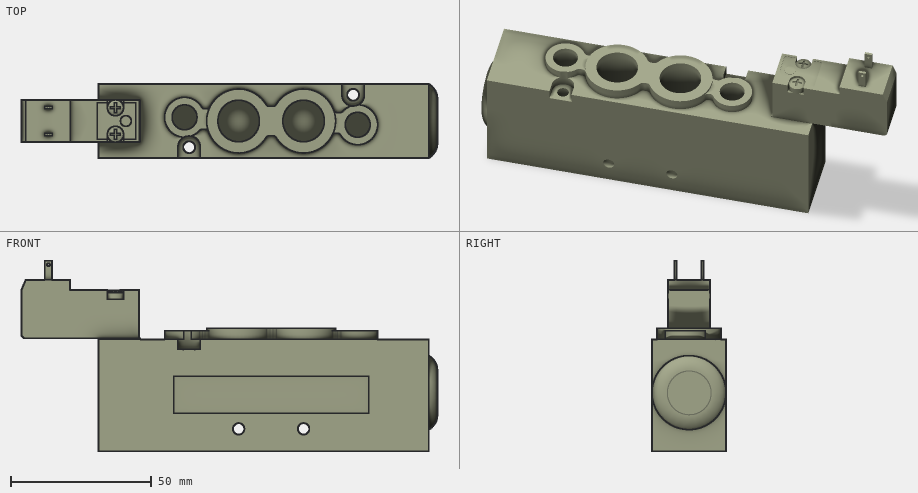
import cadquery as cq
import math


housing_length = 118.0
housing_width = 26.5
housing_height = 40.0

port_centre_x = 61.7
main_port_offset = 11.6
main_boss_diameter = 22.9
main_bore_diameter = 14.9
main_boss_height = 4.0
main_web_width = 10.4
side_port_offset_x = 30.9
side_port_offset_y = 1.3
side_boss_diameter = 14.3
side_bore_diameter = 8.9
side_boss_height = 3.1
side_web_width = 7.3
web_fillet = 1.5
port_depth = 14.9

mount_offset_x = 29.3
mount_offset_y = 9.4
mount_hole_diameter = 4.2
mount_seat_width = 8.0
mount_seat_depth = 3.5

cross_hole_diameter = 4.0
cross_hole_height = 8.0

label_length = 69.5
label_height = 13.1
label_bottom = 13.7
mark_depth = 0.1

cap_diameter = 26.5
cap_thickness = 3.1
cap_centre_height = 21.0
cap_edge_angle = math.radians(60)

pilot_width = 15.0
pilot_overhang = 27.5
pilot_reach = 14.5
pilot_top = 61.2
pilot_step_top = 57.7
pilot_step_x = -10.1
pilot_bevel = 1.5
pilot_bottom_bevel = 0.9
foot_thickness = 0.37
foot_lip = 0.5
foot_inset = 0.1

blade_spacing = 9.5
blade_x = -17.8
blade_width = 2.7
blade_thickness = 0.9
blade_top = 68.0
blade_hole_diameter = 1.0
blade_hole_below_top = 1.5

screw_x = 6.1
screw_spacing = 9.5
screw_diameter = 5.8
screw_seat_depth = 3.4
screw_edge_height = 2.4
screw_dome_height = 0.7
cross_slot_length = 3.5
cross_slot_width = 0.7
cross_slot_depth = 0.9

cover_start = -0.5
cover_end = 13.4
cover_width = 13.1
button_x = 9.8
button_diameter = 3.9

half_turn_signs = (-1, 1)


def block(start, end):
    """Box between two opposite corners."""
    size = [b - a for a, b in zip(start, end)]
    return cq.Workplane("XY").box(*size, centered=False).translate(tuple(start))


def upright_cylinder(x, y, bottom, diameter, height):
    return cq.Workplane("XY", origin=(x, y, bottom)).circle(diameter / 2).extrude(height)


def open_seat(x, y, width, side, reach, bottom, height):
    """U-shaped pocket volume, round about (x, y) and open towards Y = side * reach."""
    pocket = upright_cylinder(x, y, bottom, width, height)
    low_y, high_y = sorted((y, side * reach))
    return pocket.union(block((x - width / 2, low_y, bottom), (x + width / 2, high_y, bottom + height)))


def bridged_bosses(left, right, web_width, height):
    """Two round bosses, each (x, y, diameter), joined by a web along X with filleted inner corners."""
    left_x, left_y, left_diameter = left
    right_x, right_y, right_diameter = right
    web_y = (left_y + right_y) / 2
    web = block(
        (left_x, web_y - web_width / 2, housing_height),
        (right_x, web_y + web_width / 2, housing_height + height),
    )
    left_boss = upright_cylinder(left_x, left_y, housing_height, left_diameter, height)
    right_boss = upright_cylinder(right_x, right_y, housing_height, right_diameter, height).rotate(
        (right_x, right_y, 0), (right_x, right_y, 1), 180
    )
    return web.union(left_boss).union(right_boss).edges("|Z").fillet(web_fillet)


def make_port_bosses():
    left_side = (port_centre_x - side_port_offset_x, side_port_offset_y, side_boss_diameter)
    left_main = (port_centre_x - main_port_offset, 0, main_boss_diameter)
    right_main = (port_centre_x + main_port_offset, 0, main_boss_diameter)
    bosses = bridged_bosses(left_main, right_main, main_web_width, main_boss_height)
    side_pair = bridged_bosses(left_side, left_main, side_web_width, side_boss_height)
    for angle in (0, 180):
        bosses = bosses.union(side_pair.rotate((port_centre_x, 0, 0), (port_centre_x, 0, 1), angle))
    return bosses


def cut_port_bores(body):
    bottom = housing_height - port_depth
    for sign in half_turn_signs:
        main_x = port_centre_x + sign * main_port_offset
        side_x = port_centre_x + sign * side_port_offset_x
        side_y = -sign * side_port_offset_y
        body = body.cut(
            upright_cylinder(main_x, 0, bottom, main_bore_diameter, port_depth + main_boss_height)
        ).cut(upright_cylinder(side_x, side_y, bottom, side_bore_diameter, port_depth + side_boss_height))
    return body


def cut_mounting_holes(body):
    seat_floor = housing_height - mount_seat_depth
    for sign in half_turn_signs:
        x = port_centre_x + sign * mount_offset_x
        y = sign * mount_offset_y
        seat = open_seat(
            x, y, mount_seat_width, sign, housing_width / 2, seat_floor, mount_seat_depth + side_boss_height
        )
        body = body.cut(seat).cut(upright_cylinder(x, y, 0, mount_hole_diameter, housing_height))
    return body


def cut_cross_holes(body):
    hole = (
        cq.Workplane("XZ", origin=(port_centre_x, housing_width / 2, cross_hole_height))
        .pushPoints([(sign * main_port_offset, 0) for sign in half_turn_signs])
        .circle(cross_hole_diameter / 2)
        .extrude(housing_width)
    )
    return body.cut(hole)


def cut_label(body):
    front = -housing_width / 2
    return body.cut(
        block(
            (port_centre_x - label_length / 2, front, label_bottom),
            (port_centre_x + label_length / 2, front + mark_depth, label_bottom + label_height),
        )
    )


def make_housing():
    body = block((0, -housing_width / 2, 0), (housing_length, housing_width / 2, housing_height))
    body = body.union(make_port_bosses())
    body = cut_port_bores(body)
    body = cut_mounting_holes(body)
    body = cut_cross_holes(body)
    return cut_label(body)


def make_end_cap():
    """Disc with a flat centre and an arc that falls away to the rim at the edge angle."""
    arc_radius = cap_thickness / (1 - math.cos(cap_edge_angle))
    rim = cap_diameter / 2
    flat = rim - arc_radius * math.sin(cap_edge_angle)
    arc_mid = (
        cap_thickness - arc_radius * (1 - math.cos(cap_edge_angle / 2)),
        flat + arc_radius * math.sin(cap_edge_angle / 2),
    )
    return (
        cq.Workplane("XY")
        .lineTo(0, rim)
        .threePointArc(arc_mid, (cap_thickness, flat))
        .lineTo(cap_thickness, 0)
        .close()
        .revolve(360, (0, 0), (1, 0))
        .translate((housing_length, 0, cap_centre_height))
    )


def make_pilot_block():
    bottom = housing_height + foot_thickness
    profile = [
        (-pilot_overhang + pilot_bottom_bevel, bottom),
        (pilot_reach, bottom),
        (pilot_reach, pilot_step_top),
        (pilot_step_x, pilot_step_top),
        (pilot_step_x, pilot_top),
        (-pilot_overhang + pilot_bevel, pilot_top),
        (-pilot_overhang, pilot_step_top),
        (-pilot_overhang, bottom + pilot_bottom_bevel),
    ]
    body = cq.Workplane("XZ").polyline(profile).close().extrude(pilot_width / 2, both=True)
    foot = block(
        (foot_inset, -pilot_width / 2 + foot_inset, housing_height),
        (pilot_reach + foot_lip, pilot_width / 2 - foot_inset, bottom),
    )
    return body.union(foot)


def cut_cover_marks(body):
    cover_floor = pilot_step_top - mark_depth
    cover = block(
        (cover_start, -cover_width / 2, cover_floor), (cover_end, cover_width / 2, pilot_step_top)
    )
    button = upright_cylinder(button_x, 0, cover_floor, button_diameter, mark_depth)
    return body.cut(cover).union(button)


def make_blade(y):
    blade = block(
        (blade_x - blade_width / 2, y - blade_thickness / 2, pilot_top),
        (blade_x + blade_width / 2, y + blade_thickness / 2, blade_top),
    )
    hole = (
        cq.Workplane("XZ", origin=(blade_x, y + blade_thickness / 2, blade_top - blade_hole_below_top))
        .circle(blade_hole_diameter / 2)
        .extrude(blade_thickness)
    )
    return blade.cut(hole)


def make_screw_head(y):
    """Domed screw head with a cross slot, standing on the floor of its seat."""
    radius = screw_diameter / 2
    top = screw_edge_height + screw_dome_height
    sphere_radius = (radius**2 + screw_dome_height**2) / (2 * screw_dome_height)
    head = upright_cylinder(0, 0, 0, screw_diameter, top).intersect(
        cq.Workplane("XY").sphere(sphere_radius).translate((0, 0, top - sphere_radius))
    )
    for angle in (0, 90):
        slot = block(
            (-cross_slot_length / 2, -cross_slot_width / 2, top - cross_slot_depth),
            (cross_slot_length / 2, cross_slot_width / 2, top),
        )
        head = head.cut(slot.rotate((0, 0, 0), (0, 0, 1), angle))
    return head.translate((screw_x, y, pilot_step_top - screw_seat_depth))


def make_pilot():
    body = cut_cover_marks(make_pilot_block())
    for side in half_turn_signs:
        screw_y = side * screw_spacing / 2
        seat_floor = pilot_step_top - screw_seat_depth
        seat = open_seat(
            screw_x, screw_y, screw_diameter, side, pilot_width / 2, seat_floor, screw_seat_depth
        )
        body = body.cut(seat).union(make_screw_head(screw_y))
        body = body.union(make_blade(side * blade_spacing / 2))
    return body


housing = make_housing()
end_cap = make_end_cap()
pilot = make_pilot()

result = cq.Compound.makeCompound([housing.val(), end_cap.val(), pilot.val()])